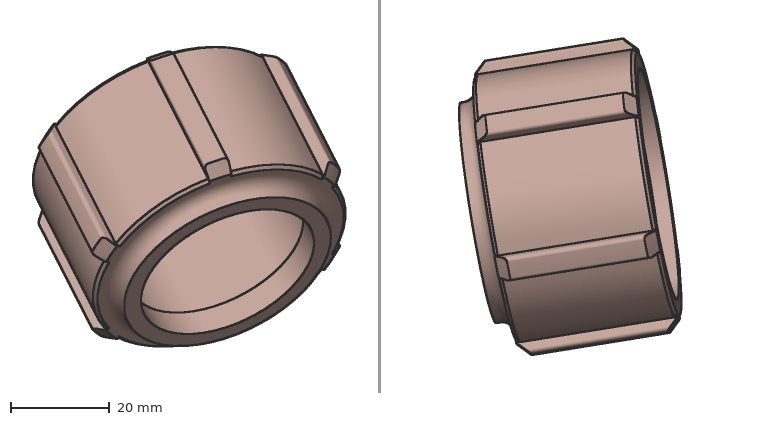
import cadquery as cq

body_length = 33.3
total_length = 37.0
body_radius = 55.45 / 2
body_chamfer = 0.7

neck_radius = 45.35 / 2
neck_straight = 0.8
neck_blend = total_length - body_length - neck_straight

mouth_radius = 47.5 / 2
mouth_depth = 3.25
bore_radius = 42.75 / 2
exit_radius = 38.0 / 2
bore_depth = 31.2

rib_count = 6
rib_radius = 60.5 / 2
rib_angle = 10
rib_edge_fillet = 0.8
rib_end_chamfer = rib_radius - body_radius
rib_root_radius = (mouth_radius + body_radius) / 2

axis_start = (0, 0, 0)
axis_end = (1, 0, 0)


def revolve_about_x(profile, angle=360):
    return profile.revolve(angle, axis_start, axis_end)


def chamfered_cylinder(radius, chamfer):
    """Solid cylinder as long as the body, chamfered at both ends."""
    disc = cq.Workplane("YZ").circle(radius).extrude(body_length)
    return disc.edges().chamfer(chamfer)


def make_neck():
    """Solid core that runs through the body and narrows to the neck behind it."""
    profile = (
        cq.Workplane("XY")
        .moveTo(0, 0)
        .lineTo(total_length, 0)
        .lineTo(total_length, neck_radius)
        .lineTo(total_length - neck_straight, neck_radius)
        .radiusArc((body_length, neck_radius + neck_blend), neck_blend)
        .lineTo(0, neck_radius + neck_blend)
        .close()
    )
    return revolve_about_x(profile)


def make_bore():
    mouth = cq.Workplane("YZ").circle(mouth_radius).extrude(mouth_depth)
    bore = cq.Workplane("YZ").circle(bore_radius).extrude(bore_depth)
    exit_hole = cq.Workplane("YZ").circle(exit_radius).extrude(total_length)
    return mouth.union(bore).union(exit_hole)


def make_rib():
    """One rib centred on +Z, rounded along its outer edges and bevelled at its ends."""
    profile = (
        cq.Workplane("XZ")
        .moveTo(0, rib_root_radius)
        .lineTo(body_length, rib_root_radius)
        .lineTo(body_length, rib_radius)
        .lineTo(0, rib_radius)
        .close()
    )
    sector = revolve_about_x(profile, rib_angle)
    rib = sector.rotate(axis_start, axis_end, -rib_angle / 2)
    rib = rib.edges("|X").edges(">Z").fillet(rib_edge_fillet)
    return rib.intersect(chamfered_cylinder(rib_radius, rib_end_chamfer))


result = chamfered_cylinder(body_radius, body_chamfer).union(make_neck())
rib = make_rib()
for index in range(rib_count):
    result = result.union(rib.rotate(axis_start, axis_end, index * 360 / rib_count))
result = result.cut(make_bore())